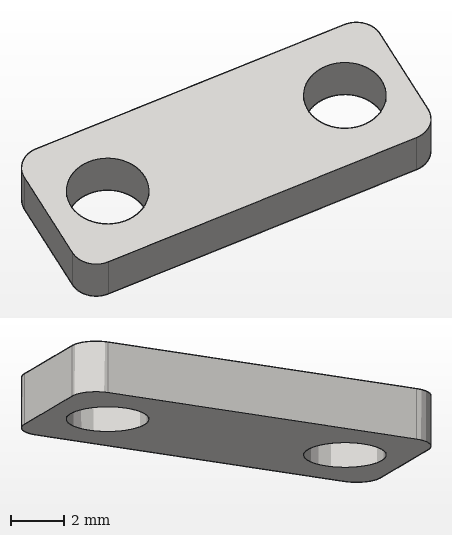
import cadquery as cq

width = 6.0
length = 15.0
thickness = 2.0
corner_radius = 1.0

hole_diameter = 3.1
hole_spacing = length * 2 / 3

plate = cq.Workplane("XY").box(width, length, thickness)
rounded_plate = plate.edges("|Z").fillet(corner_radius)

hole_centers = [(0, -hole_spacing / 2), (0, hole_spacing / 2)]
result = rounded_plate.faces(">Z").workplane().pushPoints(hole_centers).hole(hole_diameter)